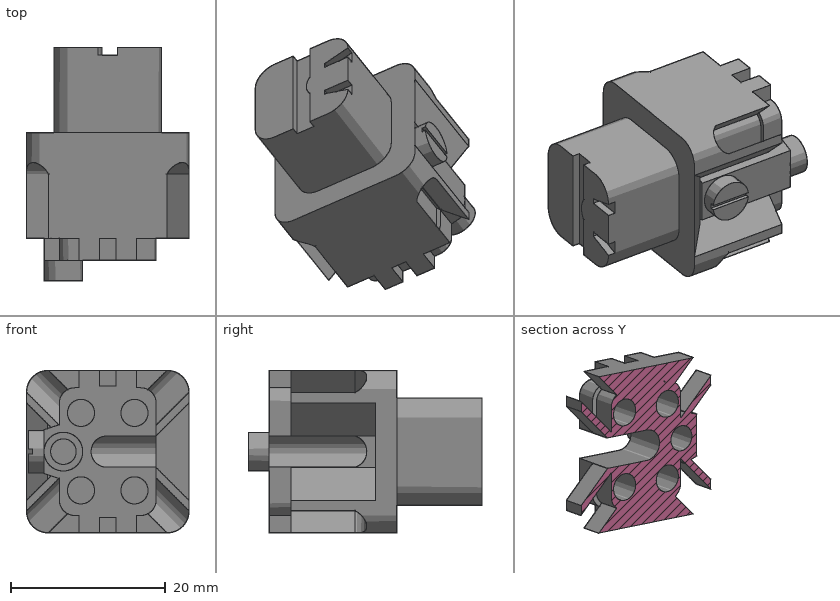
import cadquery as cq

FLANGE_LENGTH = 13.65
REAR_LENGTH = 11.0
NOSE_LENGTH = 2.85
TUBE_LENGTH = 2.65
NOSE_FRONT = -NOSE_LENGTH
TUBE_FRONT = NOSE_FRONT - TUBE_LENGTH
REAR_END = FLANGE_LENGTH + REAR_LENGTH

FLANGE_SIZE = 21.0
FLANGE_HALF = FLANGE_SIZE / 2
FLANGE_RADIUS = 2.85
REAR_SIZE = 13.9
REAR_HALF = REAR_SIZE / 2
REAR_RADIUS = 3.0

NOSE_WIDTH = 12.5
NOSE_HEIGHT = 16.5
NOSE_RADIUS = 2.0
TAB_WIDTH = 7.4
TAB_NOTCH_WIDTH = 2.1
TAB_NOTCH_DEPTH = 2.0

CORE_INSET_X = 0.6
CORE_INSET_Z = 0.3
CORE_WIDTH = NOSE_WIDTH - 2 * CORE_INSET_X
CORE_HEIGHT = NOSE_HEIGHT - 2 * CORE_INSET_Z
CORE_RADIUS = 2.0

KEY_OUTER_X = -8.23
KEY_OUTER_HALF = 2.83
KEY_ROOT_HALF = 3.48

POCKET_MOUTH_HALF = 6.3
POCKET_BACK = 10.9
POCKET_SLOPE = FLANGE_LENGTH - POCKET_BACK

CHANNEL_WIDTH = 4.02
CHANNEL_STRAIGHT = 8.27
CHANNEL_ROUND = 1.5
SLOT_END_X = -2.15

CONTACT_DIAMETER = 3.5
CONTACT_X = 3.45
CONTACT_Z = 5.0
CONTACT_DEPTH = 12.0

TUBE_DIAMETER = 5.0
TUBE_BORE = 3.3
TUBE_X = KEY_OUTER_X + TUBE_DIAMETER / 2
TUBE_BORE_DEPTH = 12.0
SCREW_DIAMETER = 5.5
SCREW_HEIGHT = 2.0
SCREW_Y = 7.8
SCREW_SLOT_WIDTH = 0.65
SCREW_SLOT_DEPTH = 0.5

REAR_CUT_DEPTH = 1.0
REAR_GROOVE_WIDTH = 2.5
REAR_POST_DIAMETER = 5.0
REAR_POST_EDGE_X = -0.72
SIDE_GROOVE_NEAR_Z = 2.22
SIDE_GROOVE_END_X = -CONTACT_X
SIDE_GROOVE_END_Z = 2.87
SIDE_GROOVE_MOUTH_Z = REAR_HALF - REAR_RADIUS


def section(y_back):
    """Sketch plane across the part; extruding from it runs toward -Y."""
    return cq.Workplane("XZ", origin=(0, y_back, 0))


def block(width, height, y_front, y_back, x=0, z=0):
    length = y_back - y_front
    return section(y_back).center(x, z).rect(width, height).extrude(length)


def rounded_block(width, height, radius, y_front, y_back):
    return block(width, height, y_front, y_back).edges("|Y").fillet(radius)


def rod(diameter, y_front, y_back, x=0, z=0):
    return section(y_back).center(x, z).circle(diameter / 2).extrude(y_back - y_front)


def channel(x_start, x_end):
    """Cutter that runs along X, open at the front and rounded at its back."""
    half = CHANNEL_WIDTH / 2
    return (
        cq.Workplane("YZ", origin=(x_start, 0, 0))
        .moveTo(NOSE_FRONT, -half)
        .lineTo(CHANNEL_STRAIGHT, -half)
        .threePointArc((CHANNEL_STRAIGHT + CHANNEL_ROUND, 0), (CHANNEL_STRAIGHT, half))
        .lineTo(NOSE_FRONT, half)
        .close()
        .extrude(x_end - x_start)
    )


def side_pocket():
    """Trapezoidal cutter for the +X side, narrowing at 45 degrees toward the middle."""
    inner_x = NOSE_WIDTH / 2
    inner_half = POCKET_MOUTH_HALF - (FLANGE_HALF - inner_x)
    return (
        section(POCKET_BACK)
        .polyline([
            (inner_x, inner_half),
            (FLANGE_HALF, POCKET_MOUTH_HALF),
            (FLANGE_HALF, -POCKET_MOUTH_HALF),
            (inner_x, -inner_half),
        ])
        .close()
        .extrude(POCKET_BACK)
    )


def pocket_runout():
    """Wedge that slopes the back of the -X pocket out to the flange rear edge."""
    inner_x = POCKET_SLOPE - FLANGE_HALF
    wedge = (
        cq.Workplane("XY", origin=(0, 0, -POCKET_MOUTH_HALF))
        .polyline([(-FLANGE_HALF, POCKET_BACK), (inner_x, POCKET_BACK), (-FLANGE_HALF, FLANGE_LENGTH)])
        .close()
        .extrude(2 * POCKET_MOUTH_HALF)
    )
    inner_half = POCKET_MOUTH_HALF - POCKET_SLOPE
    walls = (
        section(FLANGE_LENGTH)
        .polyline([
            (-FLANGE_HALF, POCKET_MOUTH_HALF),
            (inner_x, inner_half),
            (inner_x, -inner_half),
            (-FLANGE_HALF, -POCKET_MOUTH_HALF),
        ])
        .close()
        .extrude(FLANGE_LENGTH)
    )
    return wedge.intersect(walls)


def corner_channel(angle):
    """Diagonal channel from the core out through a flange corner."""
    core = rounded_block(CORE_WIDTH, CORE_HEIGHT, CORE_RADIUS, NOSE_FRONT, FLANGE_LENGTH)
    return channel(0, FLANGE_SIZE).rotate((0, 0, 0), (0, 1, 0), angle).cut(core)


def make_flange():
    flange = rounded_block(FLANGE_SIZE, FLANGE_SIZE, FLANGE_RADIUS, 0, FLANGE_LENGTH)
    for angle in (45, 135, 225, 315):
        flange = flange.cut(corner_channel(angle))
    flange = flange.cut(side_pocket())
    flange = flange.cut(side_pocket().mirror("YZ"))
    return flange.cut(pocket_runout())


def make_nose():
    nose = rounded_block(NOSE_WIDTH, NOSE_HEIGHT, NOSE_RADIUS, NOSE_FRONT, 0)
    nose = nose.union(block(TAB_WIDTH, FLANGE_SIZE, NOSE_FRONT, 0))
    notch_z = FLANGE_HALF - TAB_NOTCH_DEPTH / 2
    for z in (notch_z, -notch_z):
        nose = nose.cut(block(TAB_NOTCH_WIDTH, TAB_NOTCH_DEPTH, NOSE_FRONT, 0, z=z))
    return nose.union(make_key())


def make_key():
    root_x = -NOSE_WIDTH / 2
    return (
        section(POCKET_BACK)
        .polyline([
            (root_x, KEY_ROOT_HALF),
            (KEY_OUTER_X, KEY_OUTER_HALF),
            (KEY_OUTER_X, -KEY_OUTER_HALF),
            (root_x, -KEY_ROOT_HALF),
        ])
        .close()
        .extrude(POCKET_BACK - NOSE_FRONT)
    )


def nose_slot():
    """Channel from the middle of the nose out to +X, round-ended in section."""
    straight_start = SLOT_END_X + CHANNEL_WIDTH / 2
    outline = block(
        FLANGE_HALF - straight_start,
        CHANNEL_WIDTH,
        NOSE_FRONT,
        POCKET_BACK,
        x=(FLANGE_HALF + straight_start) / 2,
    ).union(rod(CHANNEL_WIDTH, NOSE_FRONT, POCKET_BACK, x=straight_start))
    return channel(SLOT_END_X, NOSE_WIDTH / 2).intersect(outline)


def side_groove():
    """Groove in the rear face in from -X, narrowing toward its end."""
    return (
        section(REAR_END)
        .polyline([
            (-REAR_HALF, SIDE_GROOVE_NEAR_Z),
            (SIDE_GROOVE_END_X, SIDE_GROOVE_NEAR_Z),
            (SIDE_GROOVE_END_X, SIDE_GROOVE_END_Z),
            (-REAR_HALF, SIDE_GROOVE_MOUTH_Z),
        ])
        .close()
        .extrude(REAR_CUT_DEPTH)
    )


def make_rear():
    rear = rounded_block(REAR_SIZE, REAR_SIZE, REAR_RADIUS, FLANGE_LENGTH, REAR_END)
    cut_floor = REAR_END - REAR_CUT_DEPTH
    groove = block(REAR_GROOVE_WIDTH, REAR_SIZE, cut_floor, REAR_END)
    post_x = REAR_POST_EDGE_X - REAR_POST_DIAMETER / 2
    rear = rear.cut(groove.cut(rod(REAR_POST_DIAMETER, cut_floor, REAR_END, x=post_x)))
    return rear.cut(side_groove()).cut(side_groove().mirror("XY"))


def make_screw():
    head_x = KEY_OUTER_X - SCREW_HEIGHT
    screw = (
        cq.Workplane("YZ", origin=(head_x, SCREW_Y, 0))
        .circle(SCREW_DIAMETER / 2)
        .extrude(SCREW_HEIGHT)
    )
    slot = cq.Workplane("XY").box(2 * SCREW_SLOT_DEPTH, SCREW_DIAMETER, SCREW_SLOT_WIDTH)
    return screw.cut(slot.translate((head_x, SCREW_Y, 0)))


def contact_holes():
    holes = cq.Workplane()
    for x in (-CONTACT_X, CONTACT_X):
        for z in (-CONTACT_Z, CONTACT_Z):
            holes = holes.add(rod(CONTACT_DIAMETER, NOSE_FRONT, NOSE_FRONT + CONTACT_DEPTH, x, z))
    return holes.combine()


tube = rod(TUBE_DIAMETER, TUBE_FRONT, 0, x=TUBE_X)
tube_bore = rod(TUBE_BORE, TUBE_FRONT, TUBE_FRONT + TUBE_BORE_DEPTH, x=TUBE_X)

result = make_flange().union(make_nose()).union(make_rear())
result = result.cut(nose_slot()).cut(contact_holes())
result = result.union(tube).union(make_screw()).cut(tube_bore)